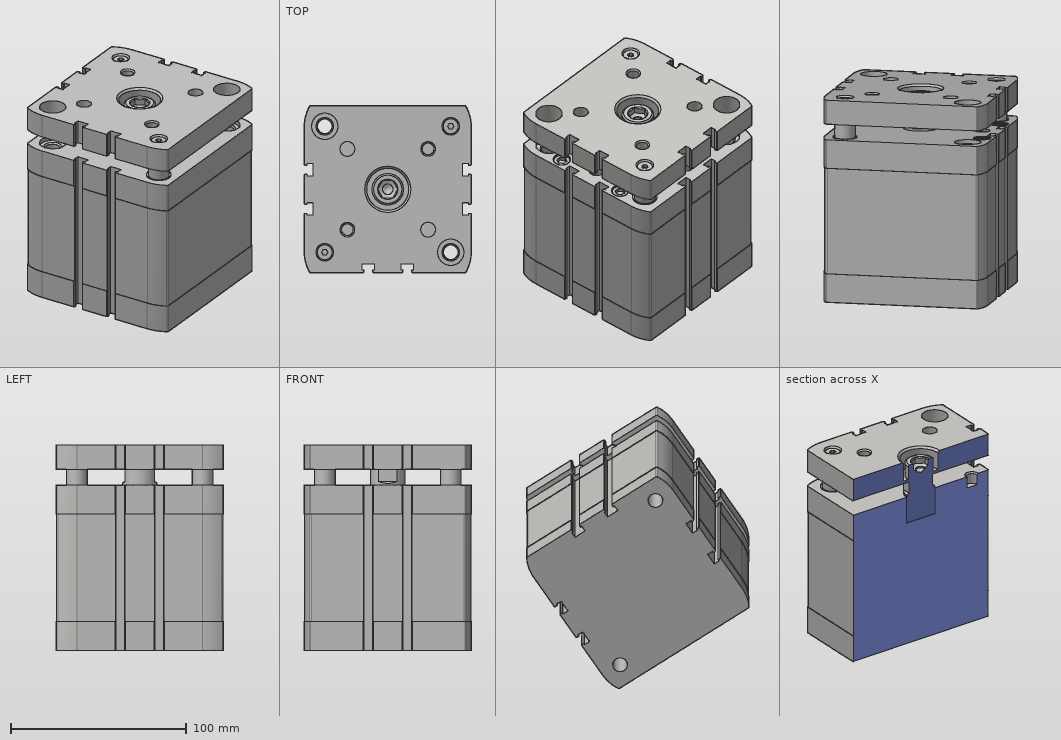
import cadquery as cq
import math

WIDTH = 95.5
HALF_WIDTH = WIDTH / 2
TOTAL_HEIGHT = 117.4
PLATE_THICKNESS = 14.0
STROKE_GAP = 9.0
PLATE_BOTTOM = TOTAL_HEIGHT - PLATE_THICKNESS
HOUSING_HEIGHT = PLATE_BOTTOM - STROKE_GAP
CAP_HEIGHT = 16.5
BARREL_HEIGHT = HOUSING_HEIGHT - 2 * CAP_HEIGHT
BARREL_INSET = 0.2

CORNER_RADIUS = 24.0
CORNER_START = 35.7
CAP_EDGE_FILLET = 0.9
BARREL_EDGE_FILLET = 1.4

SLOT_OFFSET = 11.2
SLOT_MOUTH = 5.0
SLOT_HEAD = 6.9
SLOT_LIP = 1.8
SLOT_DEPTH = 5.0
SLOT_MOUTH_CHAMFER = 0.5

CORNER_PITCH = 35.9
GUIDE_POINTS = [(CORNER_PITCH, CORNER_PITCH), (-CORNER_PITCH, -CORNER_PITCH)]
MOUNT_POINTS = [(-CORNER_PITCH, CORNER_PITCH), (CORNER_PITCH, -CORNER_PITCH)]

GUIDE_DIAMETER = 12.0
GUIDE_RECESS_DIAMETER = 14.0
GUIDE_RECESS_DEPTH = 0.5

GUIDE_SCREW_RECESS = 10.0
GUIDE_SCREW_RIM = 8.6
GUIDE_SCREW_DEPTH = 1.0
GUIDE_SCREW_SOCKET = 3.0
GUIDE_SCREW_SOCKET_DEPTH = 2.0

ACCESS_DIAMETER = 15.0
MOUNT_SEAT_DEPTH = 2.3
MOUNT_MOUTH = 10.0
MOUNT_DIAMETER = 8.3

FIXING_PITCH = 23.0
PIN_HOLE_DIAMETER = 8.5
THREAD_MOUTH = 8.3
THREAD_DIAMETER = 6.7

ROD_DIAMETER = 20.0
ROD_FLATS = 17.0
FLAT_CLEARANCE = 2.2
FLAT_RUN_OUT = 1.2

RECESS_DIAMETER = 24.0
RECESS_DEPTH = 12.0
RECESS_CHAMFER = 1.2
HEAD_DIAMETER = 18.0
HEAD_SINK = 2.9
HEAD_CHAMFER = 0.9
SOCKET_FLATS = 10.0
SOCKET_DEPTH = 3.9
PILOT_DIAMETER = 6.0
PILOT_DEPTH = 5.9
DRILL_HALF_ANGLE = 68.0

CUSHION_X = -41.1
CUSHION_Y = 21.8
CUSHION_BORE = 10.0
CUSHION_MOUTH_CHAMFER = 0.5
CUSHION_SINK = 0.7
CUSHION_SOCKET_FLATS = 5.0
CUSHION_SOCKET_DEPTH = 2.0

CAP_HOLE_RADIUS = 36.2
CAP_HOLE_DEPTH = 7.0


def cylinder(points, diameter, z_low, z_high):
    """Equal vertical cylinders at the given points."""
    return (
        cq.Workplane("XY", origin=(0, 0, z_low))
        .pushPoints(points)
        .circle(diameter / 2)
        .extrude(z_high - z_low)
    )


def hexagon(points, flats, z_low, z_high):
    """Equal vertical hexagonal prisms, with corners along X."""
    corner_diameter = flats / math.cos(math.pi / 6)
    return (
        cq.Workplane("XY", origin=(0, 0, z_low))
        .pushPoints(points)
        .polygon(6, corner_diameter)
        .extrude(z_high - z_low)
    )


def cone(point, top_diameter, bottom_diameter, z_top, depth):
    """Vertical cone narrowing downwards, pointed when the bottom diameter is zero."""
    return cq.Workplane(
        cq.Solid.makeCone(
            top_diameter / 2, bottom_diameter / 2, depth, cq.Vector(*point, z_top), cq.Vector(0, 0, -1)
        )
    )


def chamfer_cuts(points, mouth, bore, z_top):
    """45 degree countersinks from the mouth diameter to the bore diameter."""
    depth = (mouth - bore) / 2
    cuts = cq.Workplane()
    for point in points:
        cuts = cuts.add(cone(point, mouth, bore, z_top, depth))
    return cuts.combine()


def outline_block(z_low, height, edge_fillet=CAP_EDGE_FILLET, inset=0.0):
    """Square block with shallow arcs at its corners."""
    half = HALF_WIDTH - inset
    radius = CORNER_RADIUS - inset
    rise = half - CORNER_START

    def arc_x(dy):
        return half - radius + math.sqrt(radius**2 - dy**2)

    end_x = arc_x(rise)
    mid_x = arc_x(rise / 2)
    mid_y = CORNER_START + rise / 2
    return (
        cq.Workplane("XY", origin=(0, 0, z_low))
        .moveTo(half, -CORNER_START)
        .lineTo(half, CORNER_START)
        .threePointArc((mid_x, mid_y), (end_x, half))
        .lineTo(-end_x, half)
        .threePointArc((-mid_x, mid_y), (-half, CORNER_START))
        .lineTo(-half, -CORNER_START)
        .threePointArc((-mid_x, -mid_y), (-end_x, -half))
        .lineTo(end_x, -half)
        .threePointArc((mid_x, -mid_y), (half, -CORNER_START))
        .close()
        .extrude(height)
        .edges("|Z and (<Y or >Y)")
        .fillet(edge_fillet)
    )


def mouth_chamfer(height):
    """Wedge that bevels both outer edges of a slot mouth."""
    half_mouth = SLOT_MOUTH / 2
    half_outer = half_mouth + SLOT_MOUTH_CHAMFER
    return (
        cq.Workplane("XY")
        .moveTo(-half_outer, 0)
        .lineTo(half_outer, 0)
        .lineTo(half_mouth, SLOT_MOUTH_CHAMFER)
        .lineTo(-half_mouth, SLOT_MOUTH_CHAMFER)
        .close()
        .extrude(height)
    )


def slot_cuts(z_low, z_high):
    """Two T-slots on each of the -Y, +X and -X sides."""
    height = z_high - z_low
    head_depth = SLOT_DEPTH - SLOT_LIP
    cuts = cq.Workplane()
    for side_angle in (-90, 0, 90):
        for offset in (-SLOT_OFFSET, SLOT_OFFSET):
            mouth = cq.Workplane("XY").box(SLOT_MOUTH, SLOT_DEPTH, height, (True, False, False))
            head = cq.Workplane("XY").box(SLOT_HEAD, head_depth, height, (True, False, False))
            mouth = mouth.union(mouth_chamfer(height))
            slot = mouth.union(head.translate((0, SLOT_LIP, 0)))
            slot = slot.translate((offset, -HALF_WIDTH, z_low))
            cuts = cuts.add(slot.rotate((0, 0, 0), (0, 0, 1), side_angle))
    return cuts.combine()


def cut_cushion_screws(housing):
    """Two sunk screws with hexagon sockets beside the -X edge of the top cap."""
    points = [(CUSHION_X, CUSHION_Y), (CUSHION_X, -CUSHION_Y)]
    top = HOUSING_HEIGHT
    bore = CUSHION_BORE - 2 * CUSHION_MOUTH_CHAMFER
    head_top = top - CUSHION_SINK
    housing = housing.cut(chamfer_cuts(points, CUSHION_BORE, bore, top))
    housing = housing.cut(cylinder(points, bore, head_top, top))
    return housing.cut(hexagon(points, CUSHION_SOCKET_FLATS, head_top - CUSHION_SOCKET_DEPTH, head_top))


def cut_cap_holes(housing):
    """Blind countersunk holes in the top cap, on the centre lines of the slotted sides."""
    points = [(-CAP_HOLE_RADIUS, 0), (0, -CAP_HOLE_RADIUS)]
    top = HOUSING_HEIGHT
    return housing.cut(cylinder(points, THREAD_DIAMETER, top - CAP_HOLE_DEPTH, top)).cut(
        chamfer_cuts(points, THREAD_MOUTH, THREAD_DIAMETER, top)
    )


def make_housing():
    """Barrel between two end caps, with bores for the three rods."""
    top = HOUSING_HEIGHT
    cap_seat = top - CAP_HEIGHT
    housing = (
        outline_block(0, CAP_HEIGHT)
        .union(outline_block(CAP_HEIGHT, BARREL_HEIGHT, BARREL_EDGE_FILLET, BARREL_INSET))
        .union(outline_block(cap_seat, CAP_HEIGHT))
        .cut(slot_cuts(0, top))
    )
    seat = top - MOUNT_SEAT_DEPTH
    housing = (
        housing.cut(cylinder(MOUNT_POINTS, MOUNT_DIAMETER, 0, top))
        .cut(cylinder(MOUNT_POINTS, ACCESS_DIAMETER, seat, top))
        .cut(chamfer_cuts(MOUNT_POINTS, MOUNT_MOUTH, MOUNT_DIAMETER, seat))
    )
    housing = (
        housing.cut(cylinder(GUIDE_POINTS, GUIDE_DIAMETER, cap_seat, top))
        .cut(cylinder(GUIDE_POINTS, GUIDE_RECESS_DIAMETER, top - GUIDE_RECESS_DEPTH, top))
        .cut(cylinder([(0, 0)], ROD_DIAMETER, cap_seat, top))
    )
    return cut_cap_holes(cut_cushion_screws(housing))


def make_piston_rod(z_low):
    """Round rod whose upper part has two flats with sloping run-outs."""
    rod = cylinder([(0, 0)], ROD_DIAMETER, z_low, PLATE_BOTTOM)
    radius = ROD_DIAMETER / 2
    half_flats = ROD_FLATS / 2
    flat_bottom = HOUSING_HEIGHT + FLAT_CLEARANCE
    flat_profile = (
        cq.Workplane("YZ", origin=(-radius, 0, 0))
        .moveTo(half_flats, PLATE_BOTTOM)
        .lineTo(half_flats, flat_bottom)
        .lineTo(radius, flat_bottom - FLAT_RUN_OUT)
        .lineTo(radius, PLATE_BOTTOM)
        .close()
    )
    flat = flat_profile.extrude(ROD_DIAMETER)
    return rod.cut(flat).cut(flat.mirror("XZ"))


def make_head():
    """Cap screw head with a hexagon socket and a pilot hole, both with drill-point bottoms."""
    centre = (0, 0)
    head_top = TOTAL_HEIGHT - HEAD_SINK
    head_bottom = TOTAL_HEIGHT - RECESS_DEPTH
    drill_slope = 1 / math.tan(math.radians(DRILL_HALF_ANGLE))
    socket_corners = SOCKET_FLATS / math.cos(math.pi / 6)
    socket_bottom = head_top - SOCKET_DEPTH
    pilot_bottom = head_top - PILOT_DEPTH
    head = cylinder([centre], HEAD_DIAMETER, head_bottom, head_top).faces(">Z").chamfer(HEAD_CHAMFER)
    socket_cone = cone(centre, socket_corners, 0, socket_bottom, drill_slope * socket_corners / 2)
    socket_tip = hexagon([centre], SOCKET_FLATS, head_bottom, socket_bottom).intersect(socket_cone)
    return (
        head.cut(hexagon([centre], SOCKET_FLATS, socket_bottom, head_top))
        .cut(chamfer_cuts([centre], socket_corners, SOCKET_FLATS, head_top))
        .cut(socket_tip)
        .cut(cylinder([centre], PILOT_DIAMETER, pilot_bottom, socket_bottom))
        .cut(cone(centre, PILOT_DIAMETER, 0, pilot_bottom, drill_slope * PILOT_DIAMETER / 2))
    )


def cut_fixing_holes(plate):
    """Plain pin holes on one diagonal and countersunk thread holes on the other."""
    pins = [(-FIXING_PITCH, FIXING_PITCH), (FIXING_PITCH, -FIXING_PITCH)]
    threads = [(FIXING_PITCH, FIXING_PITCH), (-FIXING_PITCH, -FIXING_PITCH)]
    return (
        plate.cut(cylinder(pins, PIN_HOLE_DIAMETER, PLATE_BOTTOM, TOTAL_HEIGHT))
        .cut(cylinder(threads, THREAD_DIAMETER, PLATE_BOTTOM, TOTAL_HEIGHT))
        .cut(chamfer_cuts(threads, THREAD_MOUTH, THREAD_DIAMETER, TOTAL_HEIGHT))
    )


def cut_guide_screws(plate):
    """Tapered recesses above the guide rods, with small hexagon sockets in their floors."""
    seat = TOTAL_HEIGHT - GUIDE_SCREW_DEPTH
    for point in GUIDE_POINTS:
        plate = plate.cut(cone(point, GUIDE_SCREW_RECESS, GUIDE_SCREW_RIM, TOTAL_HEIGHT, GUIDE_SCREW_DEPTH))
    return plate.cut(hexagon(GUIDE_POINTS, GUIDE_SCREW_SOCKET, seat - GUIDE_SCREW_SOCKET_DEPTH, seat))


def make_plunger():
    """Front plate with its guide rods, piston rod and central screw."""
    rod_bottom = HOUSING_HEIGHT - CAP_HEIGHT
    recess_mouth = RECESS_DIAMETER + 2 * RECESS_CHAMFER
    plate = outline_block(PLATE_BOTTOM, PLATE_THICKNESS).cut(slot_cuts(PLATE_BOTTOM, TOTAL_HEIGHT))
    plate = (
        plate.cut(cylinder([(0, 0)], RECESS_DIAMETER, TOTAL_HEIGHT - RECESS_DEPTH, TOTAL_HEIGHT))
        .cut(chamfer_cuts([(0, 0)], recess_mouth, RECESS_DIAMETER, TOTAL_HEIGHT))
        .cut(cylinder(MOUNT_POINTS, ACCESS_DIAMETER, PLATE_BOTTOM, TOTAL_HEIGHT))
    )
    plate = cut_guide_screws(cut_fixing_holes(plate))
    return (
        plate.union(make_head())
        .union(make_piston_rod(rod_bottom))
        .union(cylinder(GUIDE_POINTS, GUIDE_DIAMETER, rod_bottom, PLATE_BOTTOM))
    )


housing = make_housing()
plunger = make_plunger()

result = cq.Compound.makeCompound([housing.val(), plunger.val()])